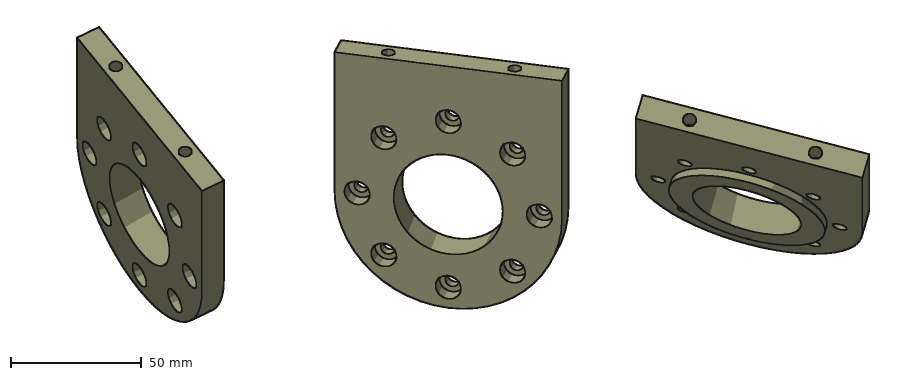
import cadquery as cq
import math

height = 105.0
width = 90.0
radius = width / 2
thickness = 10.0
top_z = height - radius

spigot_diameter = 62.0
spigot_height = 3.0
bore_diameter = 43.0

screw_count = 8
screw_circle_diameter = 72.0
screw_diameter = 5.5
counterbore_diameter = 10.0
counterbore_depth = 6.0

edge_hole_spacing = 50.0
edge_hole_diameter = 5.0
edge_hole_depth = 12.0
pilot_diameter = 4.2
pilot_depth = 15.0
drill_point_angle = 118


def make_plate():
    """Plate from the front face at Y = 0 back to Y = thickness."""
    return (
        cq.Workplane("XZ")
        .moveTo(-radius, 0)
        .lineTo(-radius, top_z)
        .lineTo(radius, top_z)
        .lineTo(radius, 0)
        .threePointArc((0, -radius), (-radius, 0))
        .close()
        .extrude(-thickness)
    )


def add_spigot_and_bore(body):
    spigot = (
        cq.Workplane("XZ", origin=(0, thickness, 0))
        .circle(spigot_diameter / 2)
        .extrude(-spigot_height)
    )
    bore = (
        cq.Workplane("XZ")
        .circle(bore_diameter / 2)
        .extrude(-(thickness + spigot_height))
    )
    return body.union(spigot).cut(bore)


def cut_screw_holes(body):
    """Screw holes pass through everything; counterbores open on the front face."""
    return (
        body.faces("<Y")
        .workplane(origin=(0, 0, 0))
        .polarArray(screw_circle_diameter / 2, 0, 360, screw_count)
        .cboreHole(screw_diameter, counterbore_diameter, counterbore_depth)
    )


def cut_edge_holes(body):
    """Two drilled holes, each stepping down to a pilot that ends in a cone."""
    hole_radius = edge_hole_diameter / 2
    pilot_radius = pilot_diameter / 2
    point_length = pilot_radius / math.tan(math.radians(drill_point_angle / 2))
    step_z = top_z - edge_hole_depth
    pilot_bottom_z = top_z - pilot_depth
    drill = (
        cq.Workplane("XZ")
        .moveTo(0, top_z)
        .lineTo(hole_radius, top_z)
        .lineTo(hole_radius, step_z)
        .lineTo(pilot_radius, step_z)
        .lineTo(pilot_radius, pilot_bottom_z)
        .lineTo(0, pilot_bottom_z - point_length)
        .close()
        .revolve(360, (0, 0), (0, 1))
    )
    for side in (-1, 1):
        body = body.cut(drill.translate((side * edge_hole_spacing / 2, thickness / 2, 0)))
    return body


result = cut_edge_holes(cut_screw_holes(add_spigot_and_bore(make_plate())))